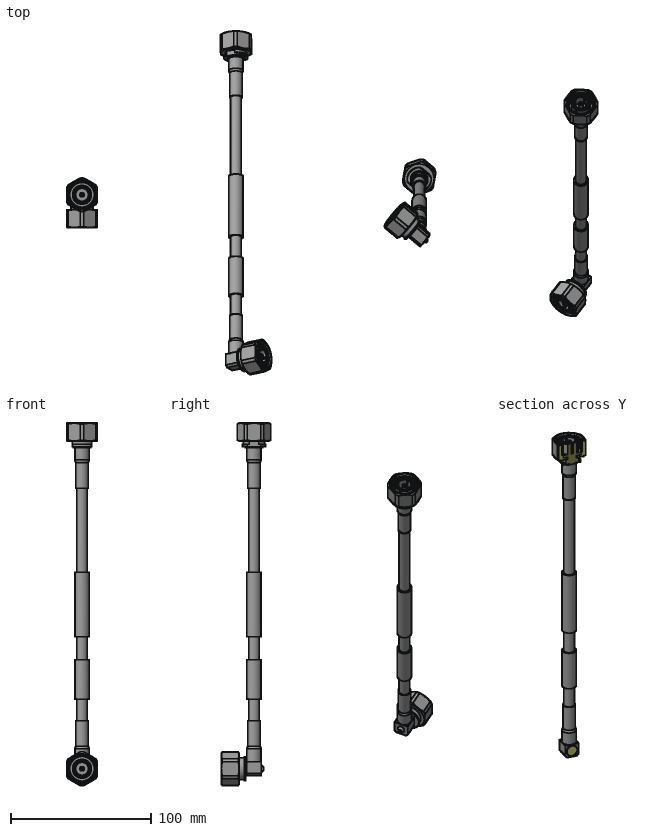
import cadquery as cq
import math


total_height = 258.9
total_depth = 35.5

nut_sides = 6
nut_across_flats = 22.0
nut_corner_diameter = 24.0
nut_corner_radius = nut_corner_diameter / 2
nut_length = 13.0
nut_end_radius = 10.5
nut_chamfer_height = 0.8
nut_lip_thickness = 2.0
nut_lip_radius = 6.5

thread_minor_radius = 8.8
thread_major_radius = 9.5
bore_countersink = 1.0
thread_pitch = 1.0
thread_groove_width = thread_pitch / 2
thread_start = 0.3
thread_grooves = 7

mating_flange_thickness = 2.0
contact_outer_radius = 6.7
contact_inner_radius = 4.7
contact_chamfer = 0.5
contact_tip = 12.7
contact_slot_width = 1.0
contact_slots = 4
pin_radius = 1.5
pin_chamfer = 0.8
pin_tip = 12.0
mating_floor = nut_lip_thickness + mating_flange_thickness

neck_radius = 5.2
sleeve_diameter = 9.0
sleeve_radius = sleeve_diameter / 2

collar_radius = 7.8
collar_length = 2.3
flange_radius = 8.5
flange_thickness = 1.5
step_radius = 6.2
step_thickness = 0.8
straight_neck_length = 8.8
neck_taper_length = 1.8
wrench_flat_width = 14.0

elbow_nut_back = total_depth - nut_corner_radius - nut_length
elbow_block_width = 10.5
elbow_block_height = 9.8
elbow_block_chamfer = 1.5
elbow_collar_radius = 8.0
elbow_collar_length = 3.5
elbow_flange_thickness = 1.0
elbow_shank_radius = 4.1
elbow_neck_top = 14.2
back_cap_radius = 2.5
back_cap_tip_radius = 1.0
back_cap_height = 1.8

straight_nut_back = total_height - nut_corner_radius - nut_length

cable_radius = 4.0
boot_length = 18.5
marker_radius = 5.2
long_marker_bottom = 94.2
long_marker_length = 46.0
short_marker_bottom = 49.7
short_marker_length = 28.2
cable_bottom = elbow_neck_top + neck_taper_length
cable_top = (
    straight_nut_back - collar_length - flange_thickness - step_thickness
    - straight_neck_length - neck_taper_length
)


def disc(radius, bottom, height):
    """Cylinder on the Z axis."""
    return cq.Workplane("XY").workplane(offset=bottom).circle(radius).extrude(height)


def frustum(bottom_radius, top_radius, bottom, height):
    """Cone frustum on the Z axis."""
    return cq.Workplane(cq.Solid.makeCone(bottom_radius, top_radius, height, cq.Vector(0, 0, bottom)))


def face_forward(shape):
    """Turn a shape built along +Z so that it points along -Y, with its origin at the elbow nut."""
    return shape.rotate((0, 0, 0), (1, 0, 0), 90).translate((0, -elbow_nut_back, 0))


def place_on_top(shape):
    """Lift a shape built from the back of its nut to the upper end of the cable."""
    return shape.translate((0, 0, straight_nut_back))


def make_nut():
    """Coupling nut along +Z with its back face at Z = 0 and two flats facing +X and -X."""
    half_side_angle = 180 / nut_sides
    across_corners = nut_across_flats / math.cos(math.radians(half_side_angle))
    hexagon = cq.Workplane("XY").polygon(nut_sides, across_corners).extrude(nut_length)
    hexagon = hexagon.rotate((0, 0, 0), (0, 0, 1), half_side_angle)
    turned = frustum(nut_end_radius, nut_corner_radius, 0, nut_chamfer_height)
    turned = turned.union(disc(nut_corner_radius, nut_chamfer_height, nut_length - 2 * nut_chamfer_height))
    turned = turned.union(
        frustum(nut_corner_radius, nut_end_radius, nut_length - nut_chamfer_height, nut_chamfer_height)
    )
    nut = hexagon.intersect(turned)
    nut = nut.cut(disc(nut_lip_radius, 0, nut_lip_thickness))
    nut = nut.cut(disc(thread_minor_radius, nut_lip_thickness, nut_length - nut_lip_thickness))
    countersink_radius = thread_minor_radius + bore_countersink
    nut = nut.cut(
        frustum(thread_minor_radius, countersink_radius, nut_length - bore_countersink, bore_countersink)
    )
    for i in range(thread_grooves):
        groove_bottom = mating_floor + thread_start + i * thread_pitch
        nut = nut.cut(disc(thread_major_radius, groove_bottom, thread_groove_width))
    return nut


def make_mating_face():
    """Part of a connector body inside its nut, along +Z from the back of the nut."""
    face = disc(nut_lip_radius, 0, nut_lip_thickness)
    face = face.union(disc(thread_minor_radius, nut_lip_thickness, mating_flange_thickness))
    contact_height = contact_tip - mating_floor
    contact = disc(contact_outer_radius, mating_floor, contact_height)
    contact = contact.cut(disc(contact_inner_radius, mating_floor, contact_height))
    contact = contact.faces(">Z").edges().chamfer(contact_chamfer)
    slot = (
        cq.Workplane("XY")
        .workplane(offset=mating_floor)
        .center(contact_outer_radius / 2, 0)
        .rect(contact_outer_radius, contact_slot_width)
        .extrude(contact_height)
    )
    for i in range(contact_slots):
        contact = contact.cut(slot.rotate((0, 0, 0), (0, 0, 1), i * 360 / contact_slots))
    pin = disc(pin_radius, mating_floor, pin_tip - mating_floor).faces(">Z").edges().chamfer(pin_chamfer)
    return face.union(contact).union(pin)


def make_straight_body():
    """Straight connector body: mating face, flatted collar, neck and tapered cable entry."""
    flange_top = -collar_length
    step_top = flange_top - flange_thickness
    neck_top = step_top - step_thickness
    taper_top = neck_top - straight_neck_length
    collar = disc(collar_radius, flange_top, collar_length)
    collar = collar.union(disc(flange_radius, step_top, flange_thickness))
    flats = cq.Workplane("XY").box(wrench_flat_width, 2 * flange_radius, -2 * step_top)
    body = make_mating_face().union(collar.intersect(flats))
    body = body.union(disc(step_radius, neck_top, step_thickness))
    body = body.union(disc(neck_radius, taper_top, straight_neck_length))
    body = body.union(frustum(sleeve_radius, neck_radius, taper_top - neck_taper_length, neck_taper_length))
    return place_on_top(body)


def make_elbow_body():
    """Right-angle connector body: mating face, round collar, elbow block, back cap and neck."""
    flange_top = -elbow_collar_length
    flange_bottom = flange_top - elbow_flange_thickness
    front = make_mating_face().union(disc(elbow_collar_radius, flange_top, elbow_collar_length))
    front = front.union(disc(flange_radius, flange_bottom, elbow_flange_thickness))
    front = front.union(disc(elbow_shank_radius, -elbow_nut_back, elbow_nut_back))
    block_half_depth = elbow_block_width / 2
    block = cq.Workplane("XY").box(elbow_block_width, elbow_block_width, elbow_block_height)
    block = block.faces("<Z").edges("|Y").chamfer(elbow_block_chamfer)
    cap = frustum(back_cap_radius, back_cap_tip_radius, block_half_depth, back_cap_height)
    cap = cap.rotate((0, 0, 0), (1, 0, 0), -90)
    body = block.union(face_forward(front)).union(cap)
    body = body.union(disc(neck_radius, 0, elbow_neck_top))
    return body.union(frustum(neck_radius, sleeve_radius, elbow_neck_top, neck_taper_length))


def make_cable():
    """Cable with a boot at each end and two marker sleeves, from one connector to the other."""
    cable = disc(cable_radius, cable_bottom, cable_top - cable_bottom)
    for boot_bottom in (cable_bottom, cable_top - boot_length):
        cable = cable.union(disc(sleeve_radius, boot_bottom, boot_length))
    cable = cable.union(disc(marker_radius, long_marker_bottom, long_marker_length))
    return cable.union(disc(marker_radius, short_marker_bottom, short_marker_length))


nuts = [place(make_nut()) for place in (place_on_top, face_forward)]
straight_body = make_straight_body()
elbow_body = make_elbow_body()
cable = make_cable()

result = cq.Compound.makeCompound(
    [*(nut.val() for nut in nuts), straight_body.val(), elbow_body.val(), cable.val()]
)